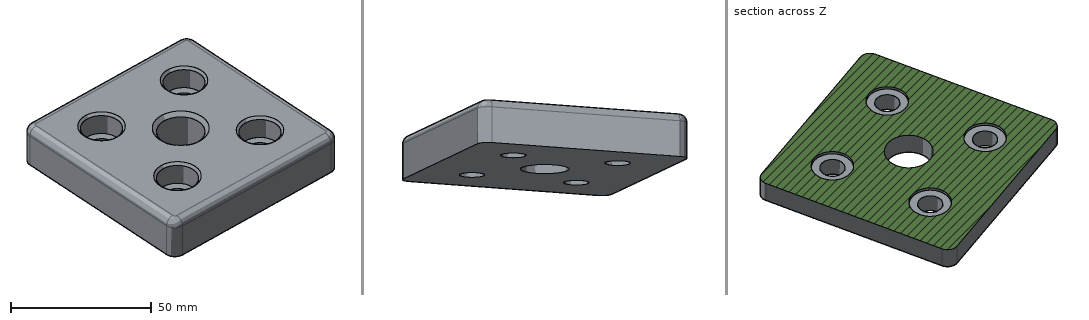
import cadquery as cq

side = 80
thickness = 16
corner_radius = 4
top_edge_radius = 3.0

center_hole_diameter = 17.3
center_chamfer = 1.5

screw_spacing = side / 2
screw_hole_diameter = 9.0
counterbore_diameter = 15.0
counterbore_depth = 9.0
counterbore_chamfer = 1.0


def make_plate():
    """Square plate with rounded corners and a rounded top rim; bottom face at Z = 0."""
    plate = cq.Workplane("XY").box(side, side, thickness, centered=(True, True, False))
    plate = plate.edges("|Z").fillet(corner_radius)
    return plate.faces(">Z").edges().fillet(top_edge_radius)


def make_chamfered_bore(diameter, depth, chamfer):
    """Cutter for a round hole sunk from the top face, with a 45 degree chamfered mouth."""
    bore = cq.Workplane("XY").workplane(offset=thickness - depth).circle(diameter / 2).extrude(depth)
    mouth = (
        cq.Workplane("XY")
        .workplane(offset=thickness)
        .circle(diameter / 2 + chamfer)
        .extrude(-chamfer, taper=45)
    )
    return bore.union(mouth)


def make_screw_hole():
    """Cutter for one counterbored screw hole on the Z axis."""
    shank = cq.Workplane("XY").circle(screw_hole_diameter / 2).extrude(thickness)
    return shank.union(make_chamfered_bore(counterbore_diameter, counterbore_depth, counterbore_chamfer))


result = make_plate().cut(make_chamfered_bore(center_hole_diameter, thickness, center_chamfer))

screw_hole = make_screw_hole()
for x_sign in (-1, 1):
    for y_sign in (-1, 1):
        position = (x_sign * screw_spacing / 2, y_sign * screw_spacing / 2, 0)
        result = result.cut(screw_hole.translate(position))